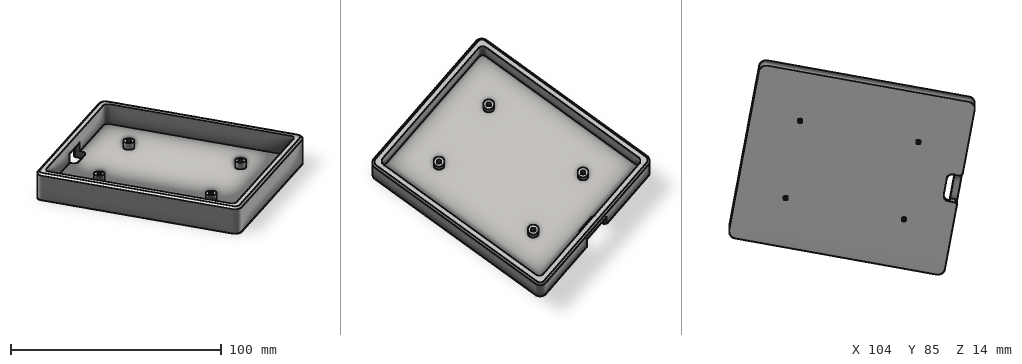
import cadquery as cq

length = 104.0
width = 85.0
height = 14.0
cavity_length = 97.0
wall = (length - cavity_length) / 2
floor_thickness = 3.5
outer_corner_radius = wall
inner_corner_radius = 2.5
rim_chamfer = 1.0

notch_width = 13.1
notch_height = 8.2
notch_reach = 3.5
notch_corner_radius = 2.5
notch_lead_in = 1.0

post_diameter = 5.2
post_bore = 2.2
post_height = 3.5
post_spacing_x = 57.0
post_spacing_y = 38.0

post_centers = [
    (side_x * post_spacing_x / 2, side_y * post_spacing_y / 2)
    for side_x in (-1, 1)
    for side_y in (-1, 1)
]


def make_tray():
    """Rounded block with a bevelled top edge and an open cavity."""
    block = cq.Workplane("XY").box(length, width, height, centered=(True, True, False))
    block = block.edges("|Z").fillet(outer_corner_radius)
    block = block.faces(">Z").chamfer(rim_chamfer)
    cavity = (
        cq.Workplane("XY", origin=(0, 0, floor_thickness))
        .box(cavity_length, width - 2 * wall, height, centered=(True, True, False))
        .edges("|Z").fillet(inner_corner_radius)
    )
    return block.cut(cavity)


def make_notch():
    """Cutter for the notch: bevelled mouth, straight sides, rounded inner end."""
    mouth_x = -length / 2
    end_x = mouth_x + wall + notch_reach
    half = notch_width / 2
    outline = [
        (mouth_x, -half - notch_lead_in),
        (mouth_x + notch_lead_in, -half),
        (end_x, -half),
        (end_x, half),
        (mouth_x + notch_lead_in, half),
        (mouth_x, half + notch_lead_in),
    ]
    cutter = cq.Workplane("XY").polyline(outline).close().extrude(notch_height)
    return cutter.edges("|Z and >X").fillet(notch_corner_radius)


def make_housing():
    """Tray with the notch and a screw hole under each post."""
    screw_holes = cq.Workplane("XY").pushPoints(post_centers).circle(post_bore / 2).extrude(floor_thickness)
    return make_tray().cut(make_notch()).cut(screw_holes)


def make_post(center):
    """Bored post standing on the tray floor."""
    return (
        cq.Workplane("XY", origin=(*center, floor_thickness))
        .circle(post_diameter / 2)
        .circle(post_bore / 2)
        .extrude(post_height)
    )


housing = make_housing()
posts = [make_post(center) for center in post_centers]

result = cq.Compound.makeCompound([housing.val(), *[post.val() for post in posts]])